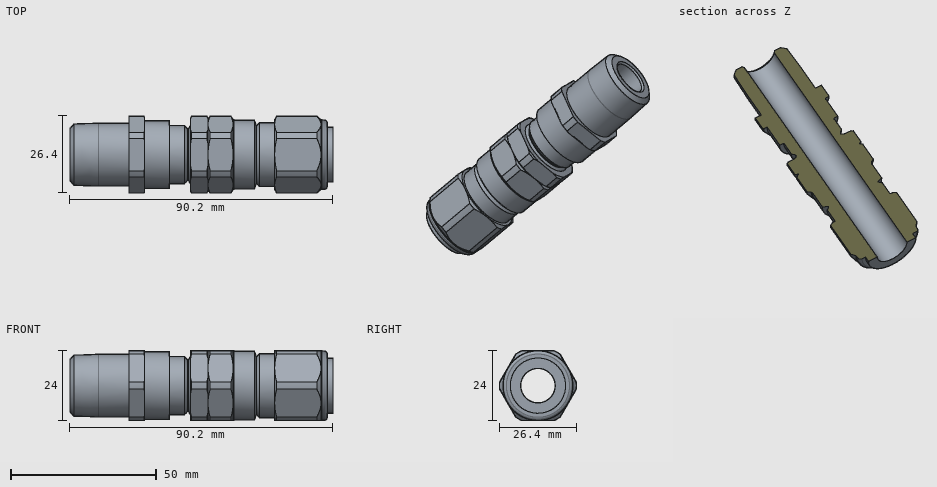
import cadquery as cq
import math

LENGTH = 90.2
HEX_FLATS = 24.0
HEX_CORNERS = 26.4
HEX_CHAMFER_ANGLE = 30.0
CAP_CHAMFER_ANGLE = 50.0
LOCKNUT_CHAMFER_DEPTH = 0.7
BODY_HEX_CHAMFER_DEPTH = 0.4
HEX_SIDES = 6
FULL_TURN = 360

STUB_NOSE_RADIUS = 8.9
STUB_TIP_RADIUS = 10.55
STUB_RADIUS = 10.8
STUB_NOSE_LENGTH = 1.4
STUB_TAPER_END = 9.8

BODY_HEX_START = 20.2
BODY_HEX_END = 25.6
SHOULDER_RADIUS = 11.6
SHOULDER_END = 34.1
NECK_RADIUS = 10.0
NECK_CHAMFER_START = 39.2
NECK_CHAMFER = 1.1
LOCKNUT_GAP = 0.4

LOCKNUT_START = 41.3
LOCKNUT_END = 47.4
MIDDLE_NUT_END = 55.9
SLEEVE_RADIUS = 11.8
SLEEVE_END = 63.95
SLEEVE_CHAMFER_LENGTH = 0.7

COLLAR_RADIUS = 11.0
COLLAR_CHAMFER = 1.1
CAP_NUT_START = 70.2
CAP_NUT_END = 86.05
RING_RADIUS = 11.9
RING_END = 88.2
RING_FILLET = 1.1
END_RADIUS = 9.5

BORE_RADIUS = 5.9
BORE_CHAMFER = 0.6

LAND_LENGTH = 0.4

CORNER_RADIUS = HEX_CORNERS / 2
FLAT_RADIUS = HEX_FLATS / 2
LOCKNUT_FACE_RADIUS = CORNER_RADIUS - LOCKNUT_CHAMFER_DEPTH
BODY_HEX_FACE_RADIUS = CORNER_RADIUS - BODY_HEX_CHAMFER_DEPTH


def revolve_about_x(points):
    """Revolve a closed (x, radius) outline about the X axis."""
    return cq.Workplane("XY").polyline(points).close().revolve(FULL_TURN, (0, 0, 0), (1, 0, 0))


def hexagon(start, end, start_radius, end_radius, end_angle=HEX_CHAMFER_ANGLE):
    """Hexagon with flats on +Z and -Z, corners rounded and ends chamfered."""
    across_points = HEX_FLATS / math.cos(math.pi / HEX_SIDES)
    end_plane = cq.Workplane("YZ", origin=(start, 0, 0))
    prism = end_plane.polygon(HEX_SIDES, across_points).extrude(end - start)
    start_run = (CORNER_RADIUS - start_radius) * math.tan(math.radians(HEX_CHAMFER_ANGLE))
    end_run = (CORNER_RADIUS - end_radius) * math.tan(math.radians(end_angle))
    envelope = [(start, 0), (start, start_radius)]
    if start_run > 0:
        envelope.append((start + start_run, CORNER_RADIUS))
    envelope += [(end - end_run, CORNER_RADIUS), (end, end_radius), (end, 0)]
    return prism.intersect(revolve_about_x(envelope))


def turned_body():
    """All the round stretches of the fitting, without the bore."""
    neck_tip_radius = NECK_RADIUS - NECK_CHAMFER
    neck_end = NECK_CHAMFER_START + NECK_CHAMFER
    groove_radius = COLLAR_RADIUS - COLLAR_CHAMFER
    return (
        cq.Workplane("XY")
        .moveTo(0, 0)
        .lineTo(0, STUB_NOSE_RADIUS)
        .lineTo(STUB_NOSE_LENGTH, STUB_TIP_RADIUS)
        .lineTo(STUB_TAPER_END, STUB_RADIUS)
        .lineTo(BODY_HEX_START, STUB_RADIUS)
        .lineTo(BODY_HEX_START, SHOULDER_RADIUS)
        .lineTo(SHOULDER_END, SHOULDER_RADIUS)
        .lineTo(SHOULDER_END, NECK_RADIUS)
        .lineTo(NECK_CHAMFER_START, NECK_RADIUS)
        .lineTo(neck_end, neck_tip_radius)
        .lineTo(neck_end + LOCKNUT_GAP, neck_tip_radius)
        .lineTo(LOCKNUT_START, NECK_RADIUS)
        .lineTo(LOCKNUT_START, FLAT_RADIUS)
        .lineTo(MIDDLE_NUT_END + LAND_LENGTH, FLAT_RADIUS)
        .lineTo(MIDDLE_NUT_END + LAND_LENGTH, SLEEVE_RADIUS)
        .lineTo(SLEEVE_END - SLEEVE_CHAMFER_LENGTH, SLEEVE_RADIUS)
        .lineTo(SLEEVE_END, groove_radius)
        .lineTo(SLEEVE_END + COLLAR_CHAMFER, COLLAR_RADIUS)
        .lineTo(CAP_NUT_START, COLLAR_RADIUS)
        .lineTo(CAP_NUT_START, FLAT_RADIUS)
        .lineTo(CAP_NUT_END + LAND_LENGTH, FLAT_RADIUS)
        .lineTo(CAP_NUT_END + LAND_LENGTH, RING_RADIUS)
        .lineTo(RING_END - RING_FILLET, RING_RADIUS)
        .radiusArc((RING_END, RING_RADIUS - RING_FILLET), RING_FILLET)
        .lineTo(RING_END, END_RADIUS)
        .lineTo(LENGTH, END_RADIUS)
        .lineTo(LENGTH, 0)
        .close()
        .revolve(FULL_TURN, (0, 0, 0), (1, 0, 0))
    )


def bore():
    """Through bore with a small chamfer at the stub end."""
    return revolve_about_x([
        (0, 0),
        (0, BORE_RADIUS + BORE_CHAMFER),
        (BORE_CHAMFER, BORE_RADIUS),
        (LENGTH, BORE_RADIUS),
        (LENGTH, 0),
    ])


body_hex = hexagon(BODY_HEX_START, BODY_HEX_END, CORNER_RADIUS, BODY_HEX_FACE_RADIUS)
locknut = hexagon(LOCKNUT_START, LOCKNUT_END, LOCKNUT_FACE_RADIUS, LOCKNUT_FACE_RADIUS)
middle_nut = hexagon(LOCKNUT_END, MIDDLE_NUT_END, FLAT_RADIUS, FLAT_RADIUS)
cap_nut = hexagon(CAP_NUT_START, CAP_NUT_END, FLAT_RADIUS, FLAT_RADIUS, CAP_CHAMFER_ANGLE)

result = turned_body()
for nut in (body_hex, locknut, middle_nut, cap_nut):
    result = result.union(nut)
result = result.cut(bore())